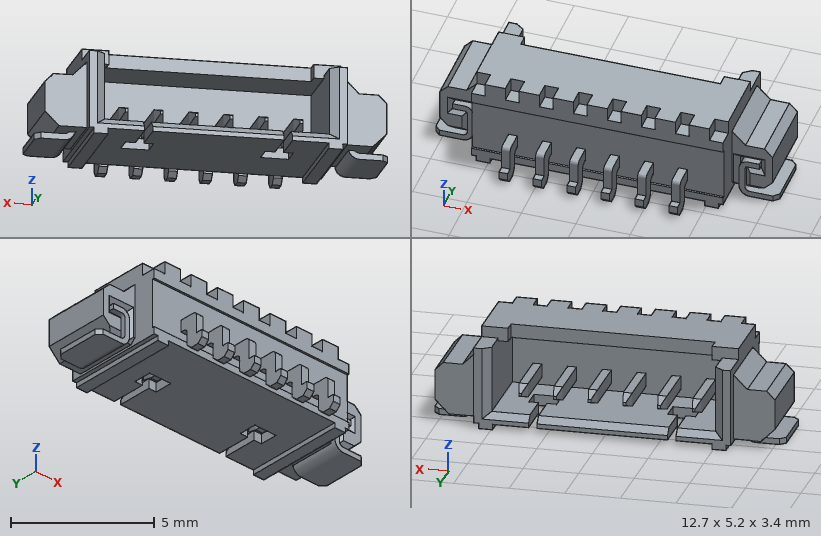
import cadquery as cq


CONTACT_COUNT = 6
PITCH = 1.25
FIRST_CONTACT_X = -PITCH * (CONTACT_COUNT - 1) / 2

END_MARGIN = 1.5
BODY_HALF = -FIRST_CONTACT_X + END_MARGIN
BODY_DEPTH = 4.2
STANDOFF = 0.2
BODY_TOP = 3.4
POST_TOP = 3.0
ROOF_REAR = 2.62
SHOULDER_REAR = 3.05
SHOULDER_INNER_X = 3.67
FRONT_RECESS = 0.08
RECESS_BOTTOM = 0.5
RECESS_TOP = 2.5
NOTCH_WIDTH = 0.5
NOTCH_DEPTH = 0.6
NOTCH_HEIGHT = 0.5
FOOT_WIDTH = 0.5
FOOT_CENTER_X = 4.2

CAVITY_HALF = 4.03
CAVITY_FRONT = 1.0
CAVITY_FLOOR = 0.6
CAVITY_ROOF = BODY_TOP - NOTCH_HEIGHT
LEAD_IN_DEPTH = 0.23
LEAD_IN_SPREAD = 0.3
LEAD_IN_DROP = 0.23
KEY_X = 2.5
KEY_WIDTH = 0.3
KEY_HEAD_WIDTH = 1.0
KEY_HEAD_FRONT = 2.0
KEY_HEAD_REAR = 2.75

CONTACT_WIDTH = 0.32
CONTACT_TOP = 1.37
CONTACT_BOTTOM = 0.88
LEG_INNER_Y = -0.23
LEG_OUTER_Y = -0.72
TOE_Y = -1.0
TOE_TOP = 0.49
TOE_CHAMFER = 0.2
LEG_ROUND = 0.16
TIP_Y = 3.5
TAPER_START_Y = 3.0
TIP_WIDTH = 0.1
TIP_HEIGHT = 0.12

WING_FRONT = 1.0
WING_REAR = 3.8
WING_OUTER_X = 6.12
WING_BOTTOM = 0.3
WING_TOP = 2.2
WING_TOP_CHAMFER = 0.3
WING_SIDE_BOTTOM = 0.8
GUSSET = 0.5
SLOT_INNER_X = 4.88
SLOT_STEP_X = 5.09
SLOT_OUTER_X = 5.64
SLOT_LEDGE = 1.23
SLOT_TOP = 1.53
MOUTH_CHAMFER = 0.2

TAB_TIP_X = 6.325
TAB_THICKNESS = 0.22
TAB_REAR = 3.18
TAB_TOP = 1.49
TAB_FOOT_RADIUS = 0.18
TAB_HOOK_RADIUS = 0.12
TAB_CORNER = 0.2


def block(x_range, y_range, z_range):
    """Box between two corners given as (low, high) pairs."""
    (x0, x1), (y0, y1), (z0, z1) = x_range, y_range, z_range
    return cq.Workplane("XY").box(x1 - x0, y1 - y0, z1 - z0, centered=False).translate((x0, y0, z0))


def across_y(points, front, rear):
    """Prism with an XZ outline, running from front to rear in Y."""
    return cq.Workplane("XZ", origin=(0, front, 0)).polyline(points).close().extrude(front - rear)


def centered(middle, width):
    return (middle - width / 2, middle + width / 2)


def make_shell():
    full_width = (-BODY_HALF, BODY_HALF)
    shell = block(full_width, (0, BODY_DEPTH), (STANDOFF, POST_TOP))
    shell = shell.union(block(full_width, (0, SHOULDER_REAR), (POST_TOP, BODY_TOP)))
    for side in (-1, 1):
        foot_x = centered(side * FOOT_CENTER_X, FOOT_WIDTH)
        shell = shell.union(block(foot_x, (0, BODY_DEPTH), (0, STANDOFF)))
    return shell.cut(block(full_width, (0, FRONT_RECESS), (RECESS_BOTTOM, RECESS_TOP)))


def cut_notches(shell):
    """Notches in the top front edge, one over each contact and one at each end."""
    end_notch_x = BODY_HALF - NOTCH_WIDTH / 2
    contact_xs = [FIRST_CONTACT_X + i * PITCH for i in range(CONTACT_COUNT)]
    for x in [-end_notch_x, *contact_xs, end_notch_x]:
        notch_z = (BODY_TOP - NOTCH_HEIGHT, BODY_TOP)
        shell = shell.cut(block(centered(x, NOTCH_WIDTH), (0, NOTCH_DEPTH), notch_z))
    return shell


def lead_in():
    """Flare at the plug entry, on the floor and both end walls."""
    height = BODY_TOP - CAVITY_FLOOR
    inner_plane = cq.Workplane("XZ", origin=(0, BODY_DEPTH - LEAD_IN_DEPTH, (BODY_TOP + CAVITY_FLOOR) / 2))
    return (
        inner_plane.rect(2 * CAVITY_HALF, height)
        .workplane(offset=-LEAD_IN_DEPTH)
        .rect(2 * (CAVITY_HALF + LEAD_IN_SPREAD), height + 2 * LEAD_IN_DROP)
        .loft(ruled=True)
    )


def cut_cavity(shell):
    cavity_x = (-CAVITY_HALF, CAVITY_HALF)
    shell = shell.cut(block(cavity_x, (CAVITY_FRONT, BODY_DEPTH), (CAVITY_FLOOR, CAVITY_ROOF)))
    shell = shell.cut(block(cavity_x, (SHOULDER_REAR, BODY_DEPTH), (CAVITY_FLOOR, BODY_TOP)))
    roof_gap_x = (-SHOULDER_INNER_X, SHOULDER_INNER_X)
    shell = shell.cut(block(roof_gap_x, (ROOF_REAR, BODY_DEPTH), (CAVITY_FLOOR, BODY_TOP)))
    shell = shell.cut(lead_in())
    floor_z = (STANDOFF, CAVITY_FLOOR)
    for x in (-KEY_X, KEY_X):
        shell = shell.cut(block(centered(x, KEY_WIDTH), (KEY_HEAD_FRONT, BODY_DEPTH), floor_z))
        shell = shell.cut(block(centered(x, KEY_HEAD_WIDTH), (KEY_HEAD_FRONT, KEY_HEAD_REAR), floor_z))
    return shell


def make_contact(x):
    """Gull-wing leg in front, straight pin with a tapered tip in the cavity."""
    tip_bottom = (CONTACT_TOP + CONTACT_BOTTOM - TIP_HEIGHT) / 2
    profile = [
        (TIP_Y, tip_bottom + TIP_HEIGHT),
        (TAPER_START_Y, CONTACT_TOP),
        (LEG_OUTER_Y, CONTACT_TOP),
        (LEG_OUTER_Y, TOE_TOP),
        (TOE_Y, TOE_TOP),
        (TOE_Y, TOE_CHAMFER),
        (TOE_Y + TOE_CHAMFER, 0),
        (LEG_INNER_Y - TOE_CHAMFER, 0),
        (LEG_INNER_Y, TOE_CHAMFER),
        (LEG_INNER_Y, CONTACT_BOTTOM),
        (TAPER_START_Y, CONTACT_BOTTOM),
        (TIP_Y, tip_bottom),
    ]
    half = CONTACT_WIDTH / 2
    contact = cq.Workplane("YZ").polyline(profile).close().extrude(half, both=True)
    for corner in ((0, LEG_OUTER_Y, CONTACT_TOP), (0, LEG_INNER_Y, CONTACT_BOTTOM)):
        contact = contact.edges("|X").edges(cq.selectors.NearestToPointSelector(corner)).fillet(LEG_ROUND)
    plan = [
        (-half, TOE_Y),
        (half, TOE_Y),
        (half, TAPER_START_Y),
        (TIP_WIDTH / 2, TIP_Y),
        (-TIP_WIDTH / 2, TIP_Y),
        (-half, TAPER_START_Y),
    ]
    contact = contact.intersect(cq.Workplane("XY").polyline(plan).close().extrude(CONTACT_TOP))
    return contact.translate((x, 0, 0))


def slot_outline(margin):
    """L-shaped tab slot, open at the bottom, with its walls moved outward by margin."""
    inner_x = SLOT_INNER_X - margin
    outer_x = SLOT_OUTER_X + margin
    step_x = SLOT_STEP_X + margin
    return [
        (inner_x, 0),
        (inner_x, SLOT_TOP + margin),
        (outer_x, SLOT_TOP + margin),
        (outer_x, SLOT_LEDGE - margin),
        (step_x, SLOT_LEDGE - margin),
        (step_x, 0),
    ]


def slot_mouth():
    """Slot flared toward the front face of the wing."""
    front = cq.Workplane("XZ", origin=(0, WING_FRONT, 0)).polyline(slot_outline(MOUTH_CHAMFER)).close()
    flare = front.workplane(offset=-MOUTH_CHAMFER).polyline(slot_outline(0)).close()
    return flare.loft(ruled=True)


def make_wing():
    """Wing on the +X end, with the slot for its solder tab."""
    outline = [
        (BODY_HALF, WING_BOTTOM),
        (WING_OUTER_X - (WING_SIDE_BOTTOM - WING_BOTTOM), WING_BOTTOM),
        (WING_OUTER_X, WING_SIDE_BOTTOM),
        (WING_OUTER_X, WING_TOP - WING_TOP_CHAMFER),
        (WING_OUTER_X - WING_TOP_CHAMFER, WING_TOP),
        (BODY_HALF + GUSSET, WING_TOP),
        (BODY_HALF, WING_TOP + GUSSET),
    ]
    wing = across_y(outline, WING_FRONT, WING_REAR)
    bottom_chamfer = (
        cq.Workplane("YZ", origin=(BODY_HALF, 0, 0))
        .moveTo(WING_FRONT, WING_BOTTOM)
        .lineTo(WING_FRONT + MOUTH_CHAMFER, WING_BOTTOM)
        .lineTo(WING_FRONT, WING_BOTTOM + MOUTH_CHAMFER)
        .close()
        .extrude(WING_OUTER_X - BODY_HALF)
    )
    wing = wing.cut(bottom_chamfer).cut(slot_mouth())
    return wing.cut(across_y(slot_outline(0), WING_FRONT, TAB_REAR))


def make_tab():
    """Bent sheet solder tab on the +X end: board foot, upright and hook."""
    upright_outer_x = SLOT_INNER_X + TAB_THICKNESS
    hook_bottom = TAB_TOP - TAB_THICKNESS
    outline = [
        (TAB_TIP_X, 0),
        (SLOT_INNER_X, 0),
        (SLOT_INNER_X, TAB_TOP),
        (SLOT_OUTER_X, TAB_TOP),
        (SLOT_OUTER_X, hook_bottom),
        (upright_outer_x, hook_bottom),
        (upright_outer_x, TAB_THICKNESS),
        (TAB_TIP_X, TAB_THICKNESS),
    ]
    tab = across_y(outline, WING_FRONT, TAB_REAR)
    bends = (
        (SLOT_INNER_X, 0, TAB_FOOT_RADIUS + TAB_THICKNESS),
        (upright_outer_x, TAB_THICKNESS, TAB_FOOT_RADIUS),
        (SLOT_INNER_X, TAB_TOP, TAB_HOOK_RADIUS + TAB_THICKNESS),
        (upright_outer_x, hook_bottom, TAB_HOOK_RADIUS),
    )
    middle_y = (WING_FRONT + TAB_REAR) / 2
    for x, z, radius in bends:
        bend_edge = cq.selectors.NearestToPointSelector((x, middle_y, z))
        tab = tab.edges("|Y").edges(bend_edge).fillet(radius)
    return tab.faces(">X").edges("|Z").chamfer(TAB_CORNER)


result = cut_cavity(cut_notches(make_shell()))
for index in range(CONTACT_COUNT):
    result = result.union(make_contact(FIRST_CONTACT_X + index * PITCH))
for end_piece in (make_wing(), make_tab()):
    result = result.union(end_piece).union(end_piece.mirror("YZ"))